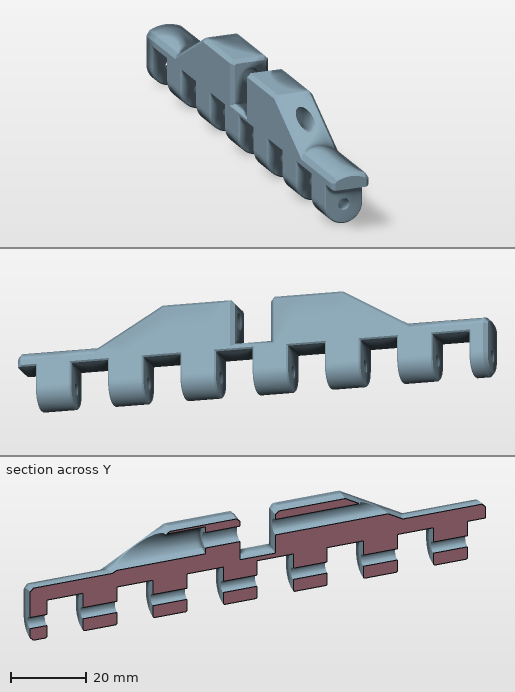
import cadquery as cq
import math

LENGTH = 130.0
WIDTH = 10.9
HEIGHT = 25.5

BOTTOM_RADIUS = WIDTH / 2
ARM_CROWN_Z = 16.0
ARM_EDGE_Z = 14.4

TOP_LENGTH = 49.9
FLANK_ANGLE = 30.0
NOTCH_LENGTH = 10.0
NOTCH_EDGE_Z = 13.5
NOTCH_CENTRE_Z = 12.9

PITCH_COUNT = 6.5
PITCH = LENGTH / PITCH_COUNT
GAP_CLEARANCE = 0.2
GAP_LENGTH = PITCH / 2 + GAP_CLEARANCE
GAP_COUNT = 7
GAP_CEILING_Z = 11.5

PIN_HOLE_DIAMETER = 3.2
BOLT_HOLE_DIAMETER = 4.5
BOLT_HEAD_DIAMETER = 8.0
BOLT_Z = 20.7
BOLT_HEAD_SEAT_DEPTH = 50.0

EDGE_CHAMFER = 1.0
KNUCKLE_CHAMFER = 0.4

X_END = LENGTH / 2
Y_SIDE = WIDTH / 2
TOLERANCE = 0.001


def near(a, b):
    return abs(a - b) < TOLERANCE


def on_side(edge):
    """True for an edge that lies in one of the flat side faces."""
    box = edge.BoundingBox()
    return near(box.ymin, box.ymax) and near(abs(box.ymin), Y_SIDE)


def at_x(edge, x):
    """True for an edge that lies in the plane at this X."""
    box = edge.BoundingBox()
    return near(box.xmin, x) and near(box.xmax, x)


def make_arm():
    """Full-length bar with a round underside and a crowned top."""
    return (
        cq.Workplane("YZ", origin=(-X_END, 0, 0))
        .moveTo(-Y_SIDE, BOTTOM_RADIUS)
        .threePointArc((0, 0), (Y_SIDE, BOTTOM_RADIUS))
        .lineTo(Y_SIDE, ARM_EDGE_Z)
        .threePointArc((0, ARM_CROWN_Z), (-Y_SIDE, ARM_EDGE_Z))
        .close()
        .extrude(LENGTH)
    )


def make_raised_middle():
    """Flat-topped block whose flanks run down into the arm."""
    base_z = GAP_CEILING_Z
    half_top = TOP_LENGTH / 2
    half_base = half_top + (HEIGHT - base_z) / math.tan(math.radians(FLANK_ANGLE))
    outline = [(-half_base, base_z), (half_base, base_z), (half_top, HEIGHT), (-half_top, HEIGHT)]
    return cq.Workplane("XZ").polyline(outline).close().extrude(Y_SIDE, both=True)


def make_notch():
    """Cutter for the middle notch; its floor is a shallow trough along X."""
    return (
        cq.Workplane("YZ", origin=(-NOTCH_LENGTH / 2, 0, 0))
        .moveTo(-Y_SIDE, NOTCH_EDGE_Z)
        .threePointArc((0, NOTCH_CENTRE_Z), (Y_SIDE, NOTCH_EDGE_Z))
        .lineTo(Y_SIDE, HEIGHT)
        .lineTo(-Y_SIDE, HEIGHT)
        .close()
        .extrude(NOTCH_LENGTH)
    )


def chamfer_where(body, condition, size):
    """Chamfer every edge of the body that meets the condition."""
    edges = [edge for edge in body.edges().vals() if condition(edge)]
    return body.newObject(edges).chamfer(size)


def is_arm_edge(edge):
    """End outlines and the upper side edges of the arm."""
    upper_side = on_side(edge) and near(edge.Center().z, ARM_EDGE_Z)
    return upper_side or at_x(edge, -X_END) or at_x(edge, X_END)


def is_raised_edge(edge):
    """Side edges of the flat top and of the flanks."""
    return on_side(edge) and not near(edge.Center().z, GAP_CEILING_Z)


def is_notch_edge(edge):
    """Side edges of the notch floor and the outlines of the notch walls, without the wall feet."""
    on_wall = at_x(edge, -NOTCH_LENGTH / 2) or at_x(edge, NOTCH_LENGTH / 2)
    wall_foot = on_wall and edge.BoundingBox().zmax < NOTCH_EDGE_Z + TOLERANCE
    centre = edge.Center()
    floor_side = on_side(edge) and near(centre.x, 0) and near(centre.z, NOTCH_EDGE_Z)
    return floor_side or (on_wall and not wall_foot)


def gap_start(index):
    """X of the left wall of a gap."""
    return -X_END + (index + 0.5) * PITCH - GAP_LENGTH / 2


def cut_gaps(body):
    """Cut the knuckle gaps; the last one is open at the right end."""
    for index in range(GAP_COUNT):
        gap = cq.Workplane("XY").box(GAP_LENGTH, WIDTH, GAP_CEILING_Z, centered=(False, True, False))
        body = body.cut(gap.translate((gap_start(index), 0, 0)))
    return body


def break_knuckle_edges(body):
    """Chamfer the knuckle end faces and the side edges of the gap ceilings."""
    walls = [gap_start(index) for index in range(GAP_COUNT)]
    walls += [x + GAP_LENGTH for x in walls[:-1]]

    def is_knuckle_edge(edge):
        centre = edge.Center()
        box = edge.BoundingBox()
        ceiling_side = on_side(edge) and near(box.zmin, GAP_CEILING_Z) and near(box.zmax, GAP_CEILING_Z)
        wall_outline = any(at_x(edge, x) for x in walls) and not near(centre.z, GAP_CEILING_Z)
        return ceiling_side or wall_outline

    return chamfer_where(body, is_knuckle_edge, KNUCKLE_CHAMFER)


def x_bore(diameter, z, length):
    """Cylinder along X that starts at the left end."""
    return cq.Workplane("YZ", origin=(-X_END, 0, z)).circle(diameter / 2).extrude(length)


arm = chamfer_where(make_arm(), is_arm_edge, EDGE_CHAMFER)
raised_middle = chamfer_where(make_raised_middle(), is_raised_edge, EDGE_CHAMFER)
body = arm.union(raised_middle).cut(make_notch())
body = chamfer_where(body, is_notch_edge, EDGE_CHAMFER)
body = cut_gaps(body)
body = break_knuckle_edges(body)

body = body.cut(x_bore(PIN_HOLE_DIAMETER, BOTTOM_RADIUS, LENGTH))
body = body.cut(x_bore(BOLT_HOLE_DIAMETER, BOLT_Z, LENGTH))
result = body.cut(x_bore(BOLT_HEAD_DIAMETER, BOLT_Z, BOLT_HEAD_SEAT_DEPTH))